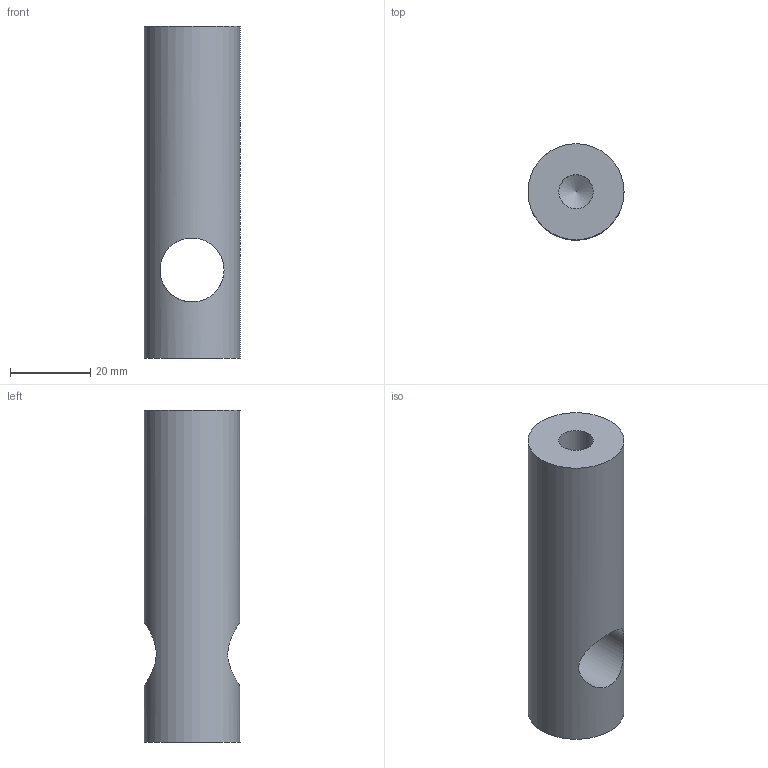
import cadquery as cq
import math

BAR_DIAMETER = 24.0
BAR_LENGTH = 83.0

CROSS_HOLE_DIAMETER = 16.0
CROSS_HOLE_HEIGHT = 22.0

DRILL_DIAMETER = 8.57
DRILL_DEPTH = 25.0
DRILL_POINT_ANGLE = 118.0


def make_bar():
    return cq.Workplane("XY").circle(BAR_DIAMETER / 2).extrude(BAR_LENGTH)


def make_cross_hole():
    return (
        cq.Workplane("XZ", origin=(0, 0, CROSS_HOLE_HEIGHT))
        .circle(CROSS_HOLE_DIAMETER / 2)
        .extrude(BAR_DIAMETER / 2, both=True)
    )


def make_drilled_hole():
    """Straight hole with a conical drill point, revolved about Z."""
    radius = DRILL_DIAMETER / 2
    point_length = radius / math.tan(math.radians(DRILL_POINT_ANGLE / 2))
    wall_bottom = BAR_LENGTH - DRILL_DEPTH
    return (
        cq.Workplane("XZ")
        .moveTo(0, BAR_LENGTH)
        .lineTo(radius, BAR_LENGTH)
        .lineTo(radius, wall_bottom)
        .lineTo(0, wall_bottom - point_length)
        .close()
        .revolve(360, (0, 0, 0), (0, 1, 0))
    )


result = make_bar().cut(make_cross_hole()).cut(make_drilled_hole())